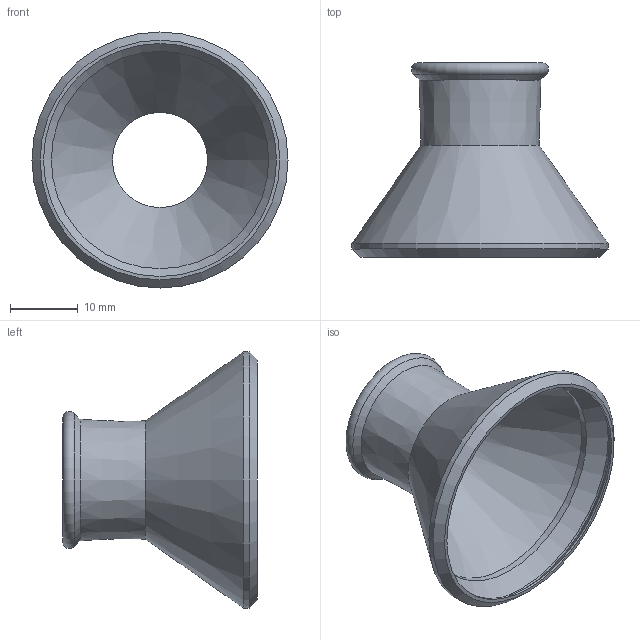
import cadquery as cq
import math

length = 28.65
mouth_y = -length / 2
axis_start = (0, 0, 0)
axis_end = (0, 1, 0)
full_turn = 360

flange_radius = 37.7 / 2
flange_chamfer = 1.2
flange_end = 2.05
neck_start = 16.5
neck_start_radius = 8.7
neck_end_radius = 8.95

bead_radius = 1.0
bead_outer_radius = 10.1

lip_radius = 34.3 / 2
lip_length = 0.35
groove_radius = 36.5 / 2
groove_end = 1.8
seat_radius = 32 / 2
seat_length = 1.0

bore_radius = 7.0
bore_start = 18.0


def profile_point(radius, distance):
    """Half-section point at a radius and a distance from the mouth."""
    return radius, mouth_y + distance


def make_outside():
    """Solid of revolution bounded by the outer surface."""
    bead_center_radius = bead_outer_radius - bead_radius
    bead_center = length - bead_radius
    diagonal = bead_radius * math.cos(math.pi / 4)
    bead_cone_radius = bead_center_radius + diagonal
    bead_cone_end = bead_center - diagonal
    neck_end = bead_cone_end - (bead_cone_radius - neck_end_radius)
    return (
        cq.Workplane("XY")
        .moveTo(*profile_point(0, 0))
        .lineTo(*profile_point(flange_radius - flange_chamfer, 0))
        .lineTo(*profile_point(flange_radius, flange_chamfer))
        .lineTo(*profile_point(flange_radius, flange_end))
        .lineTo(*profile_point(neck_start_radius, neck_start))
        .lineTo(*profile_point(neck_end_radius, neck_end))
        .lineTo(*profile_point(bead_cone_radius, bead_cone_end))
        .threePointArc(
            profile_point(bead_outer_radius, bead_center),
            profile_point(bead_center_radius, length),
        )
        .lineTo(*profile_point(0, length))
        .close()
        .revolve(full_turn, axis_start, axis_end)
    )


def make_cavity():
    """Solid of revolution filling the mouth, the inner cone and the bore."""
    groove_start = lip_length + groove_radius - lip_radius
    seat_start = groove_end + groove_radius - seat_radius
    outline = [
        (0, 0),
        (lip_radius, 0),
        (lip_radius, lip_length),
        (groove_radius, groove_start),
        (groove_radius, groove_end),
        (seat_radius, seat_start),
        (seat_radius, seat_start + seat_length),
        (bore_radius, bore_start),
        (bore_radius, length),
        (0, length),
    ]
    points = [profile_point(radius, distance) for radius, distance in outline]
    return cq.Workplane("XY").polyline(points).close().revolve(full_turn, axis_start, axis_end)


result = make_outside().cut(make_cavity())